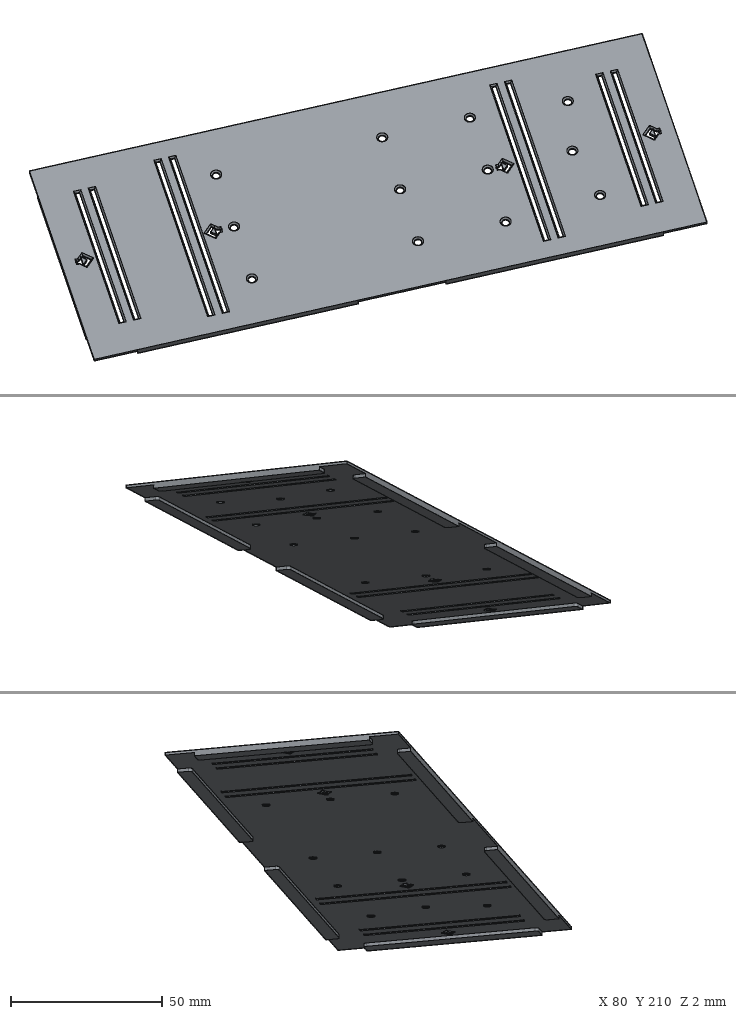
import cadquery as cq

width = 80.0
length = 210.0
height = 2.0
plate_thickness = 0.95
pad_height = height - plate_thickness

pad_depth = 4.8
pad_corner_radius = 1.0
end_pad_length = 60.0
side_pad_spans = [(-90.0, -14.5), (15.5, 90.0)]

bevel = 0.57
bevel_angle = 45

slot_width = 2.5
slot_pitch = 5.0
short_slot_length = 56.0
long_slot_length = 66.4
slot_pairs = [
    (89.5, short_slot_length),
    (54.5, long_slot_length),
    (-60.5, long_slot_length),
    (-89.5, short_slot_length),
]

hole_diameter = 2.5
hole_mouth_radius = hole_diameter / 2 + bevel
upper_hole_x = 20.0
upper_hole_y = 74.0
upper_middle_hole_y = 70.0
hole_column_x = 22.0
hole_row_ys = (41.0, 11.0, -46.0)

diamond_reach = 3.2
key_width = 2.3
key_reach = 3.0
arrows = [(97.2, 1), (46.8, -1), (-53.1, 1), (-97.2, -1)]

tooth_tip = 0.8
tooth_base = 0.8
tooth_half_width = tooth_tip + tooth_base


def pad(x_size, y_size, x, y, rounded_corners):
    block = cq.Workplane("XY").box(x_size, y_size, pad_height, centered=(True, True, False))
    block = block.edges("|Z").edges(rounded_corners).fillet(pad_corner_radius)
    return block.translate((x, y, 0))


def top_plane(x=0, y=0):
    return cq.Workplane("XY", origin=(x, y, height))


def bevelled(outline):
    """Cutter for an outline on the top face."""
    sloped = outline.extrude(-bevel, taper=bevel_angle)
    straight = sloped.faces("<Z").wires().toPending().workplane().extrude(plate_thickness - bevel)
    return sloped.union(straight)


def arrow_cutter(y, key_side):
    diamond = bevelled(
        top_plane()
        .polyline([(-diamond_reach, 0), (0, -diamond_reach), (diamond_reach, 0), (0, diamond_reach)])
        .close()
    )
    key = bevelled(top_plane(y=key_reach / 2).rect(key_width, key_reach))
    tooth = (
        cq.Workplane("XY", origin=(0, 0, pad_height))
        .polyline([(0, -tooth_tip), (tooth_half_width, tooth_base), (-tooth_half_width, tooth_base)])
        .close()
        .extrude(plate_thickness)
    )
    cutter = diamond.union(key).cut(tooth)
    if key_side < 0:
        cutter = cutter.rotate((0, 0, 0), (0, 0, 1), 180)
    return cutter.translate((0, y, 0))


result = top_plane().rect(width, length).extrude(-plate_thickness)

for side, inner_corners in ((-1, ">Y"), (1, "<Y")):
    y = side * (length - pad_depth) / 2
    result = result.union(pad(end_pad_length, pad_depth, 0, y, inner_corners))
for side, inner_corners in ((-1, ">X"), (1, "<X")):
    x = side * (width - pad_depth) / 2
    for y_start, y_end in side_pad_spans:
        result = result.union(pad(pad_depth, y_end - y_start, x, (y_start + y_end) / 2, inner_corners))

for pair_y, slot_length in slot_pairs:
    for side in (-1, 1):
        slot_y = pair_y + side * slot_pitch / 2
        result = result.cut(bevelled(top_plane(y=slot_y).rect(slot_length, slot_width)))

holes = [(-upper_hole_x, upper_hole_y), (upper_hole_x, upper_hole_y), (0, upper_middle_hole_y)]
for row_y in hole_row_ys:
    for column_x in (-hole_column_x, 0, hole_column_x):
        holes.append((column_x, row_y))
for x, y in holes:
    result = result.cut(bevelled(top_plane(x, y).circle(hole_mouth_radius)))

for y, key_side in arrows:
    result = result.cut(arrow_cutter(y, key_side))